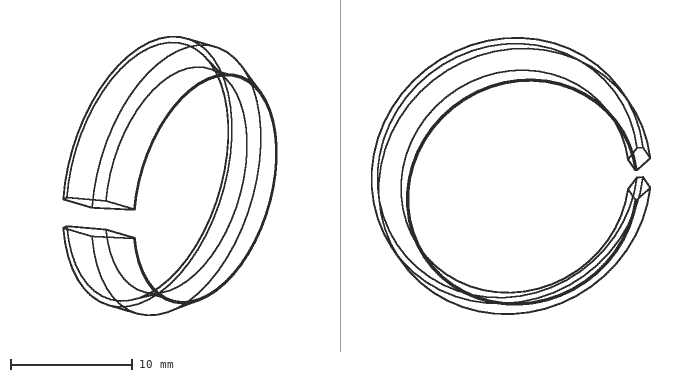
import cadquery as cq
import math

outer_radius = 11.46
rim_wall = 0.5
end_wall = 0.14
width = 6.0
band_width = width / 2
taper_angle = 30.0
slit_width = 2.55

taper_drop = (width - band_width) * math.tan(math.radians(taper_angle))
end_outer_radius = outer_radius - taper_drop
bore_radius = end_outer_radius - end_wall
rim_inner_radius = outer_radius - rim_wall

wall_section = (
    cq.Workplane("XY")
    .moveTo(0, -rim_inner_radius)
    .lineTo(0, -outer_radius)
    .lineTo(band_width, -outer_radius)
    .lineTo(width, -end_outer_radius)
    .lineTo(width, -bore_radius)
    .lineTo(band_width, -bore_radius)
    .close()
)
ring = wall_section.revolve(360, (0, 0, 0), (1, 0, 0))

slit = cq.Workplane("XY").box(width, outer_radius, slit_width, centered=(False, False, True))
slit = slit.translate((0, -outer_radius, 0))

result = ring.cut(slit)